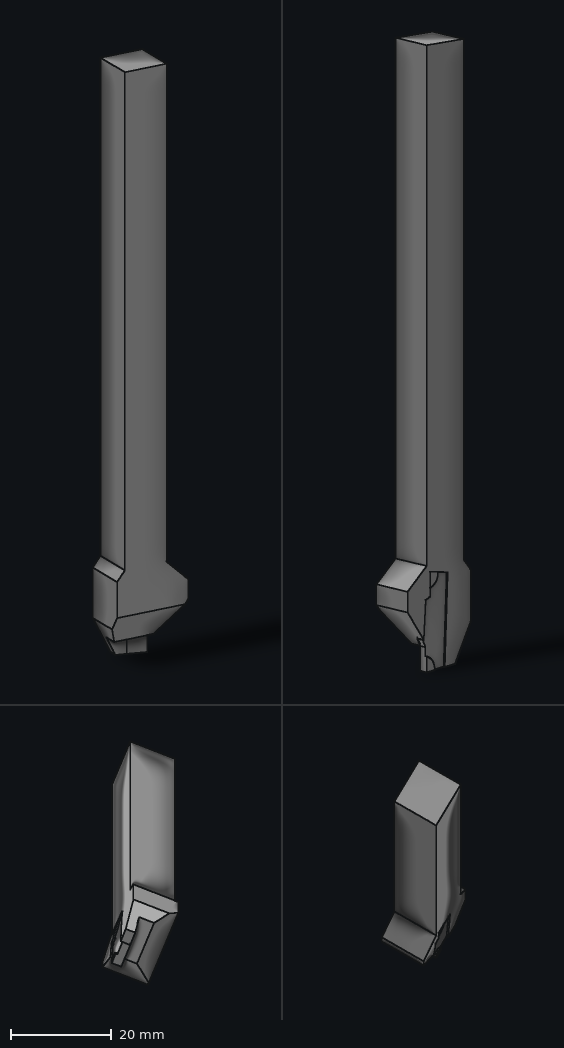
import cadquery as cq

LENGTH = 127.0
THICKNESS = 9.7
SHANK_HALF_WIDTH = 4.8

HEAD_BACK_Y = 9.8
HEAD_FRONT_Y = HEAD_BACK_Y - 16.4
NECK_Z = 21.6
BACK_TOP_Z = 17.0
BACK_BOTTOM_Z = 12.8
FRONT_TOP_Z = 19.4
FRONT_BOTTOM_Z = 8.8
NOSE_FRONT = (-2.5, 0.8)
NOSE_BACK = (1.3, 0.4)

RELIEF_TOP_Z = 11.8
RELIEF_STEP_X = 5.2
RELIEF_STEP_Z = 5.0

INSERT_THICKNESS = 2.0
FACE_RECESS = 0.4
TOP_TIP = (4.0, 20.3)
TOP_SHOULDER = (4.0, 15.2)
TOP_FLANK = (5.1, 14.7)
BOTTOM_FLANK = (5.6, 6.7)
BOTTOM_SHOULDER = (SHANK_HALF_WIDTH, 5.1)
BOTTOM_TIP = (SHANK_HALF_WIDTH, 0.0)
SEAT_TOP = (-0.6, 19.5)

SEAT_BOTTOM_Y = 0.1
END_SLOPE = (NOSE_FRONT[1] - BOTTOM_TIP[1]) / (NOSE_FRONT[0] - BOTTOM_TIP[0])
TOP_SLOPE = (SEAT_TOP[1] - TOP_TIP[1]) / (SEAT_TOP[0] - TOP_TIP[0])
SEAT_BOTTOM = (SEAT_BOTTOM_Y, END_SLOPE * (SEAT_BOTTOM_Y - BOTTOM_TIP[0]))

TIP_WIDTH = 2.0
TIP_HEIGHT = 3.3
ARC_MID_FRACTION = 0.7


def make_insert_blank():
    """Insert outline at full thickness; it also shapes the seat in the holder."""
    outline = [
        TOP_TIP, TOP_SHOULDER, TOP_FLANK, BOTTOM_FLANK,
        BOTTOM_SHOULDER, BOTTOM_TIP, SEAT_BOTTOM, SEAT_TOP,
    ]
    return cq.Workplane("YZ").polyline(outline).close().extrude(INSERT_THICKNESS)


def make_tip(corner, edge_slope, direction):
    """Raised corner of the insert face; direction is +1 upward or -1 downward along Z."""
    y, z = corner
    edge_end = (y - TIP_WIDTH, z - edge_slope * TIP_WIDTH)
    arc_middle = (y - ARC_MID_FRACTION * TIP_WIDTH, z + direction * ARC_MID_FRACTION * TIP_HEIGHT)
    flank_end = (y, z + direction * TIP_HEIGHT)
    return (
        cq.Workplane("YZ")
        .moveTo(y, z)
        .lineTo(*edge_end)
        .threePointArc(arc_middle, flank_end)
        .close()
        .extrude(FACE_RECESS)
    )


def make_insert():
    """Insert with its face recessed everywhere except at the two tips."""
    recess = (
        cq.Workplane("YZ")
        .rect(2 * LENGTH, 2 * LENGTH)
        .extrude(FACE_RECESS)
        .cut(make_tip(TOP_TIP, TOP_SLOPE, -1))
        .cut(make_tip(BOTTOM_TIP, END_SLOPE, 1))
    )
    return make_insert_blank().cut(recess)


def make_holder():
    """Square shank with a widened head, a relieved blade and a seat for the insert."""
    side_outline = [
        (SHANK_HALF_WIDTH, LENGTH), (SHANK_HALF_WIDTH, NECK_Z),
        (HEAD_BACK_Y, BACK_TOP_Z), (HEAD_BACK_Y, BACK_BOTTOM_Z),
        NOSE_BACK, NOSE_FRONT,
        (HEAD_FRONT_Y, FRONT_BOTTOM_Z), (HEAD_FRONT_Y, FRONT_TOP_Z),
        (-SHANK_HALF_WIDTH, NECK_Z), (-SHANK_HALF_WIDTH, LENGTH),
    ]
    blank = cq.Workplane("YZ").polyline(side_outline).close().extrude(THICKNESS)

    relief_outline = [
        (THICKNESS, RELIEF_TOP_Z), (RELIEF_STEP_X, RELIEF_STEP_Z),
        (INSERT_THICKNESS, RELIEF_STEP_Z), (INSERT_THICKNESS, 0), (THICKNESS, 0),
    ]
    relief = cq.Workplane("XZ").polyline(relief_outline).close().extrude(LENGTH, both=True)
    return blank.cut(relief).cut(make_insert_blank())


holder = make_holder()
insert = make_insert()

result = cq.Compound.makeCompound([holder.val(), insert.val()])